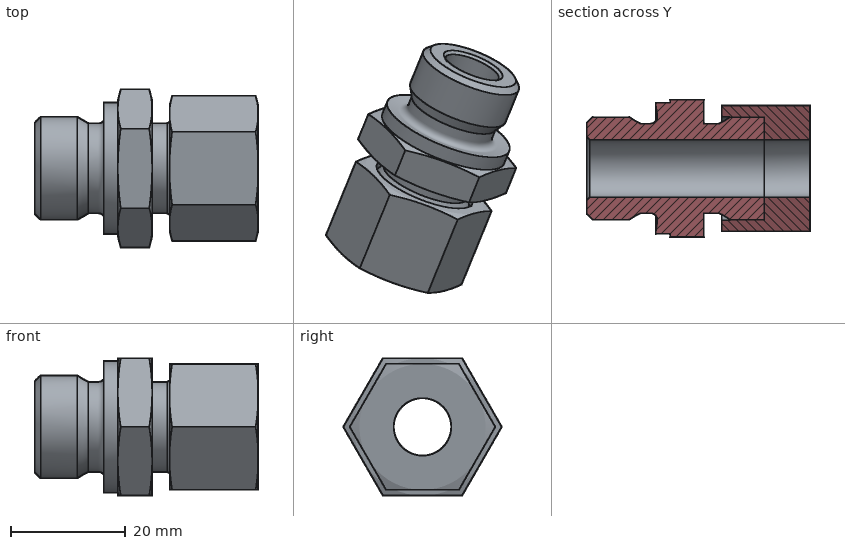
import cadquery as cq
import math

collar_face_x = 12.0
hex_start_x = 14.5
hex_end_x = 20.48
nut_face_x = 23.5
spigot_end_x = 31.0
nut_end_x = 39.0

thread_diameter = 18.0
stud_chamfer = 1.0
bore_diameter = 10.0
bore_chamfer = 0.5
neck_diameter = 15.75
undercut_angle = 30.0
undercut_start_x = 7.4
spigot_cone_x = 23.1

collar_diameter = 23.0
dish_diameter = 22.0
dish_angle = 9.0
root_fillet = 1.2

body_across_flats = 24.0
nut_across_flats = 22.0
hex_chamfer_angle = 15.0

thread_radius = thread_diameter / 2
bore_radius = bore_diameter / 2
neck_radius = neck_diameter / 2
collar_radius = collar_diameter / 2
dish_radius = dish_diameter / 2


def slope(degrees):
    return math.tan(math.radians(degrees))


def revolve_about_x(outline):
    return outline.close().revolve(360, (0, 0, 0), (1, 0, 0))


def hexagon_bar(start_x, end_x, across_flats):
    """Hexagonal bar along X, corners on +Y and -Y, both ends chamfered to the across-flats circle."""
    across_corners = across_flats / math.cos(math.pi / 6)
    flat_radius = across_flats / 2
    corner_radius = across_corners / 2
    chamfer_length = (corner_radius - flat_radius) * slope(hex_chamfer_angle)
    bar = cq.Workplane("YZ", origin=(start_x, 0, 0)).polygon(6, across_corners).extrude(end_x - start_x)
    envelope = revolve_about_x(
        cq.Workplane("XY")
        .moveTo(start_x, 0)
        .lineTo(start_x, flat_radius)
        .lineTo(start_x + chamfer_length, corner_radius)
        .lineTo(end_x - chamfer_length, corner_radius)
        .lineTo(end_x, flat_radius)
        .lineTo(end_x, 0)
    )
    return bar.intersect(envelope)


def turned_body():
    """Stud, undercut, collar and spigot as one revolved profile."""
    undercut_length = (thread_radius - neck_radius) / slope(undercut_angle)

    tilt = math.radians(dish_angle)
    fillet_end_radius = neck_radius + root_fillet * (1 + math.sin(tilt))
    fillet_end_x = collar_face_x + (dish_radius - fillet_end_radius) * slope(dish_angle)
    fillet_centre_x = fillet_end_x - root_fillet * math.cos(tilt)
    fillet_centre_radius = neck_radius + root_fillet
    mid_turn = (math.pi / 2 + tilt) / 2
    fillet_middle = (
        fillet_centre_x + root_fillet * math.sin(mid_turn),
        fillet_centre_radius - root_fillet * math.cos(mid_turn),
    )

    return revolve_about_x(
        cq.Workplane("XY")
        .moveTo(0, bore_radius + bore_chamfer)
        .lineTo(0, thread_radius - stud_chamfer)
        .lineTo(stud_chamfer, thread_radius)
        .lineTo(undercut_start_x, thread_radius)
        .lineTo(undercut_start_x + undercut_length, neck_radius)
        .lineTo(fillet_centre_x, neck_radius)
        .threePointArc(fillet_middle, (fillet_end_x, fillet_end_radius))
        .lineTo(collar_face_x, dish_radius)
        .lineTo(collar_face_x, collar_radius)
        .lineTo(hex_end_x, collar_radius)
        .lineTo(hex_end_x, neck_radius)
        .lineTo(spigot_cone_x, neck_radius)
        .lineTo(spigot_cone_x + undercut_length, thread_radius)
        .lineTo(spigot_end_x, thread_radius)
        .lineTo(spigot_end_x, bore_radius)
        .lineTo(bore_chamfer, bore_radius)
    )


def make_body():
    wrench_hex = hexagon_bar(hex_start_x, hex_end_x, body_across_flats)
    bore = cq.Workplane("YZ").circle(bore_radius).extrude(spigot_end_x)
    return turned_body().union(wrench_hex).cut(bore)


def make_nut():
    """Union nut with a socket for the spigot and the bore continuing out of its far end."""
    socket = (
        cq.Workplane("YZ", origin=(nut_face_x, 0, 0))
        .circle(thread_radius)
        .extrude(spigot_end_x - nut_face_x)
    )
    bore = cq.Workplane("YZ", origin=(nut_face_x, 0, 0)).circle(bore_radius).extrude(nut_end_x - nut_face_x)
    return hexagon_bar(nut_face_x, nut_end_x, nut_across_flats).cut(socket).cut(bore)


body = make_body()
nut = make_nut()

result = cq.Compound.makeCompound([body.val(), nut.val()])